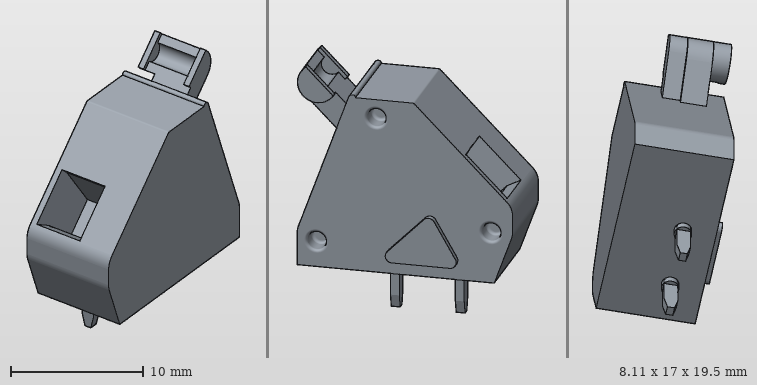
import cadquery as cq
import math


BLOCK_WIDTH = 7.62
BLOCK_DEPTH = 16.83
BLOCK_HEIGHT = 13.92
LEAN_ANGLE = 20.0
LEAN = math.tan(math.radians(LEAN_ANGLE))
LOWER_FRONT_TOP = 3.94
ENTRY_FACE_BOTTOM = 6.2
BACK_WALL_HEIGHT = 2.87
OUTLINE_RADIUS = 1.5
ENTRY_FACE_TOP_RADIUS = 0.2
RIB_HEIGHT = 14.14
RIB_FRONT = 12.27
RIB_BACK_RADIUS = 0.31

HOLE_CENTRES = [(10.65, 12.42), (1.68, 4.05), (15.3, 2.05)]
HOLE_RADIUS = 0.72
HOLE_EDGE_RADIUS = 0.23
HOLE_DEPTH = 1.5

BOSS_HEIGHT = 0.49
BOSS_FRONT = 3.9
BOSS_BACK = 10.53
BOSS_BOTTOM = 1.05
BOSS_FRONT_ANGLE = 60.0
BOSS_CORNER_RADIUS = 0.5

FUNNEL_LEFT = 0.53
FUNNEL_RIGHT = 4.55
FUNNEL_END_LEFT = 1.6
FUNNEL_END_RIGHT = 4.11
FUNNEL_DEPTH = 3.51
FUNNEL_FRONT = 0.55
FUNNEL_BACK = 3.78
FUNNEL_STEP_DEPTH = 1.1
FUNNEL_STEP = 0.39
FUNNEL_ROOF_DEPTH = 0.55
FUNNEL_ROOF_DROP = 0.98

PIN_CENTRES_Y = [4.66, 9.73]
PIN_X = 2.55
PIN_WIDTH = 1.05
PIN_THICKNESS = 0.7
PIN_LENGTH = 3.53
PIN_TAPER_START = 2.52
PIN_TIP_WIDTH = 0.55
COLLAR_RADIUS = 0.66
COLLAR_HEIGHT = 0.53

LEVER_AXIS_Y = 15.33
LEVER_AXIS_Z = 14.68
LEVER_LEFT = 0.18
LEVER_RIGHT = 4.93
LEVER_RADIUS = 1.52
FLANGE_THICKNESS = 0.5
FLANGE_RISE = 0.3
GROOVE_RADIUS = 0.78
ARM_LEFT = 1.58
ARM_STEP = 3.57
ARM_THICKNESS = 1.99
ARM_REACH = 7.8


def plain_block():
    """Block with its side outline extruded along X, rounded at the outline's corners."""
    rib_rise = RIB_HEIGHT - BLOCK_HEIGHT
    turn = math.sqrt(0.5) * rib_rise
    lower_front = (0, LOWER_FRONT_TOP)
    upper_front = (0, ENTRY_FACE_BOTTOM)
    entry_top = (BLOCK_HEIGHT - ENTRY_FACE_BOTTOM, BLOCK_HEIGHT)
    rib_back = (BLOCK_DEPTH - (RIB_HEIGHT - BACK_WALL_HEIGHT) * LEAN, RIB_HEIGHT)
    back_top = (BLOCK_DEPTH, BACK_WALL_HEIGHT)
    block = (
        cq.Workplane("YZ")
        .moveTo(LOWER_FRONT_TOP * LEAN, 0)
        .lineTo(*lower_front)
        .lineTo(*upper_front)
        .lineTo(*entry_top)
        .lineTo(RIB_FRONT, BLOCK_HEIGHT)
        .threePointArc(
            (RIB_FRONT + rib_rise - turn, BLOCK_HEIGHT + turn),
            (RIB_FRONT + rib_rise, RIB_HEIGHT),
        )
        .lineTo(*rib_back)
        .lineTo(*back_top)
        .lineTo(BLOCK_DEPTH, 0)
        .close()
        .extrude(BLOCK_WIDTH)
    )
    for corner in (lower_front, upper_front, back_top):
        block = round_edge(block, corner, OUTLINE_RADIUS)
    block = round_edge(block, entry_top, ENTRY_FACE_TOP_RADIUS)
    return round_edge(block, rib_back, RIB_BACK_RADIUS)


def round_edge(block, corner, radius):
    """Round the edge along X that passes through one (Y, Z) corner of the outline."""
    y, z = corner
    nearest = cq.selectors.NearestToPointSelector((BLOCK_WIDTH / 2, y, z))
    return block.edges("|X").edges(nearest).fillet(radius)


def blind_hole(y, z):
    """Cutter for a round-bottomed blind hole with a rounded mouth."""
    r, e = HOLE_RADIUS, HOLE_EDGE_RADIUS
    turn = math.sqrt(0.5) * e
    return (
        cq.Workplane("XY")
        .moveTo(0, 0)
        .lineTo(0, r + e)
        .threePointArc((e - turn, r + e - turn), (e, r))
        .lineTo(HOLE_DEPTH - e, r)
        .threePointArc((HOLE_DEPTH - e + turn, r - e + turn), (HOLE_DEPTH, r - e))
        .lineTo(HOLE_DEPTH, 0)
        .close()
        .revolve(360, (0, 0, 0), (1, 0, 0))
        .translate((0, y, z))
    )


def triangular_boss():
    """Triangular boss with a 45 degree back side and rounded corners."""
    front_slope = math.tan(math.radians(BOSS_FRONT_ANGLE))
    rise = (BOSS_BACK - BOSS_FRONT) / (1 + 1 / front_slope)
    apex = (BOSS_BACK - rise, BOSS_BOTTOM + rise)
    return (
        cq.Workplane("YZ")
        .polyline([(BOSS_FRONT, BOSS_BOTTOM), (BOSS_BACK, BOSS_BOTTOM), apex])
        .close()
        .extrude(-BOSS_HEIGHT)
        .edges("|X")
        .fillet(BOSS_CORNER_RADIUS)
    )


def wire_funnel():
    """Cutter for the wire entry, tapering on both sides towards its flat end."""
    slope_length = math.sqrt(2)
    mouth_front = FUNNEL_FRONT * slope_length
    mouth_back = FUNNEL_BACK * slope_length
    mouth = cq.Plane(origin=(0, 0, ENTRY_FACE_BOTTOM), xDir=(0, 1, 1), normal=(1, 0, 0))
    side = (
        cq.Workplane(mouth)
        .polyline([
            (mouth_front, 0),
            (mouth_front + FUNNEL_STEP, -FUNNEL_STEP_DEPTH),
            (mouth_front + FUNNEL_STEP, -FUNNEL_DEPTH),
            (mouth_back - FUNNEL_ROOF_DROP, -FUNNEL_DEPTH),
            (mouth_back, -FUNNEL_ROOF_DEPTH),
            (mouth_back, 0),
        ])
        .close()
        .extrude(BLOCK_WIDTH)
    )
    across = cq.Plane(origin=(0, 0, ENTRY_FACE_BOTTOM), xDir=(1, 0, 0), normal=(0, 1, 1))
    taper = (
        cq.Workplane(across)
        .polyline([
            (FUNNEL_LEFT, 0),
            (FUNNEL_RIGHT, 0),
            (FUNNEL_END_RIGHT, FUNNEL_DEPTH),
            (FUNNEL_END_LEFT, FUNNEL_DEPTH),
        ])
        .close()
        .extrude(mouth_back)
    )
    return side.intersect(taper)


def make_pin(y):
    """Flat pin hanging from the housing, narrowing to a blunt tip."""
    half = PIN_WIDTH / 2
    half_tip = PIN_TIP_WIDTH / 2
    return (
        cq.Workplane("XZ", origin=(PIN_X, y, 0))
        .polyline([
            (-half, 0),
            (half, 0),
            (half, -PIN_TAPER_START),
            (half_tip, -PIN_LENGTH),
            (-half_tip, -PIN_LENGTH),
            (-half, -PIN_TAPER_START),
        ])
        .close()
        .extrude(PIN_THICKNESS / 2, both=True)
    )


def make_housing(pins):
    """Housing with its boss, wire entry, holes and collars, each collar holding the root of a pin."""
    housing = plain_block().union(triangular_boss()).cut(wire_funnel())
    for y, z in HOLE_CENTRES:
        housing = housing.cut(blind_hole(y, z))
    for y in PIN_CENTRES_Y:
        collar = cq.Workplane("XY", origin=(PIN_X, y, 0)).circle(COLLAR_RADIUS).extrude(-COLLAR_HEIGHT)
        housing = housing.union(collar)
    for pin in pins:
        housing = housing.cut(pin)
    return housing


def lever_plane(x):
    """Plane across the lever: local x runs up the arm to its tip, local y to the upper side."""
    return cq.Plane(origin=(x, LEVER_AXIS_Y, LEVER_AXIS_Z), xDir=(0, 1, 1), normal=(1, 0, 0))


def head():
    """Half-round head: side flanges standing above the arm's upper side, grooved in between."""
    r = LEVER_RADIUS
    width = LEVER_RIGHT - LEVER_LEFT
    body = (
        cq.Workplane(lever_plane(LEVER_LEFT))
        .moveTo(-r, FLANGE_RISE)
        .lineTo(-r, 0)
        .threePointArc((0, -r), (r, 0))
        .lineTo(r, FLANGE_RISE)
        .close()
        .extrude(width)
    )
    between_flanges = cq.Workplane(lever_plane(LEVER_LEFT + FLANGE_THICKNESS))
    inner_width = width - 2 * FLANGE_THICKNESS
    recess = between_flanges.center(0, FLANGE_RISE / 2).rect(2 * r, FLANGE_RISE).extrude(inner_width)
    return body.cut(recess)


def arm(start, end, thickness):
    """Arm of the lever, with one quarter-round end at the tip."""
    turn = math.sqrt(0.5) * thickness
    centre = LEVER_RADIUS - thickness
    return (
        cq.Workplane(lever_plane(start))
        .moveTo(-ARM_REACH, 0)
        .lineTo(-ARM_REACH, -thickness)
        .lineTo(centre, -thickness)
        .threePointArc((centre + turn, -turn), (LEVER_RADIUS, 0))
        .close()
        .extrude(end - start)
    )


def make_lever():
    """Lever whose arm ends on the sloping back of the housing."""
    inner_left = LEVER_LEFT + FLANGE_THICKNESS
    inner_right = LEVER_RIGHT - FLANGE_THICKNESS
    groove = cq.Workplane(lever_plane(inner_left)).circle(GROOVE_RADIUS).extrude(inner_right - inner_left)
    thick_arm = arm(ARM_LEFT, ARM_STEP, ARM_THICKNESS)
    thin_arm = arm(ARM_STEP, LEVER_RIGHT, LEVER_RADIUS)
    return head().union(thick_arm).union(thin_arm).cut(groove).cut(plain_block())


pins = [make_pin(y) for y in PIN_CENTRES_Y]
housing = make_housing(pins)
lever = make_lever()

result = cq.Compound.makeCompound([housing.val(), lever.val(), *[pin.val() for pin in pins]])